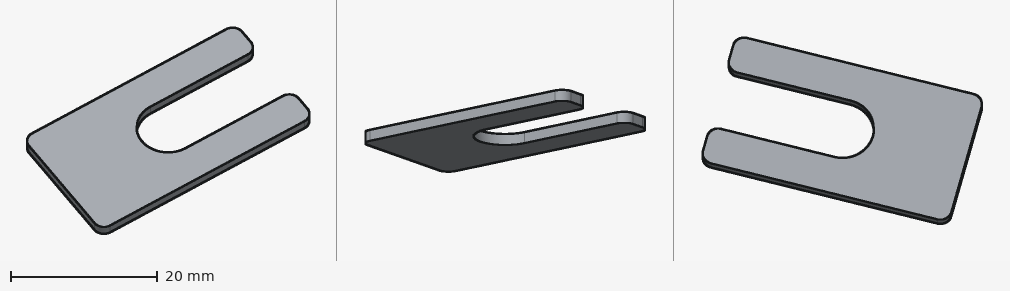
import cadquery as cq

width = 19.05
length = 35.05
thickness = 1.58
corner_radius = 1.55

slot_width = 8.55
slot_floor = 13.2

slot_radius = slot_width / 2
slot_center_y = slot_floor + slot_radius - length / 2

plate = cq.Workplane("XY").box(width, length, thickness)

slot = (
    cq.Workplane("XY")
    .moveTo(-slot_radius, length / 2)
    .lineTo(-slot_radius, slot_center_y)
    .threePointArc((0, slot_center_y - slot_radius), (slot_radius, slot_center_y))
    .lineTo(slot_radius, length / 2)
    .close()
    .extrude(thickness, both=True)
)

notched_plate = plate.cut(slot)
corner_edges = notched_plate.faces("<Y or >Y").edges("|Z")
result = corner_edges.fillet(corner_radius)